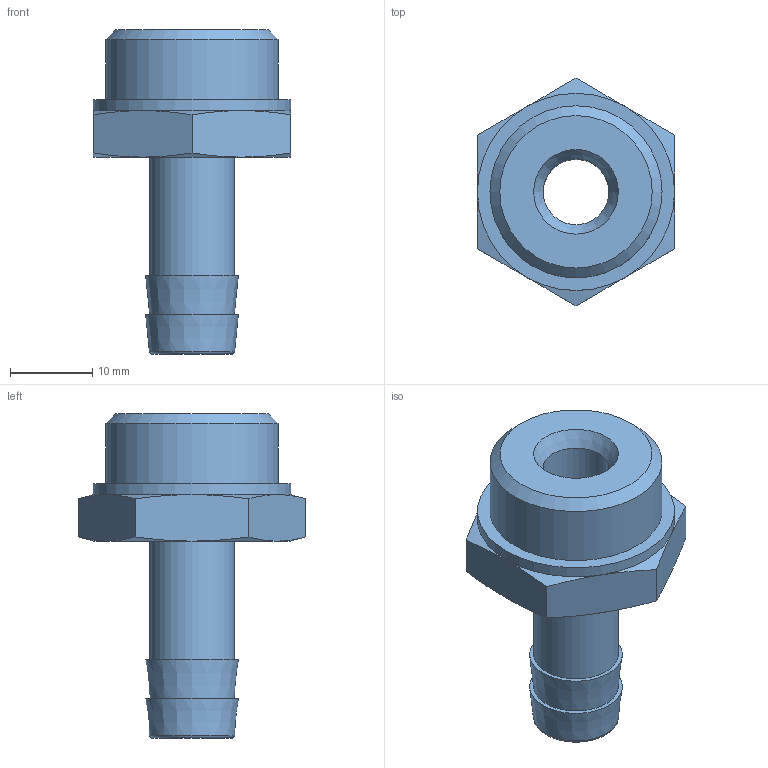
import cadquery as cq
import math

total_height = 39.5
thread_length = 8.5
collar_height = 1.35
hex_height = 5.65
collar_top = total_height - thread_length
hex_top = collar_top - collar_height
hex_bottom = hex_top - hex_height

thread_diameter = 20.95
thread_chamfer = 1.2
collar_diameter = 24.0

hex_across_flats = 24.0
hex_across_corners = hex_across_flats / math.cos(math.radians(30))
hex_chamfer_angle = 15.0

tail_diameter = 10.3
barb_diameter = 11.3
barb_pitch = 4.8
barb_count = 2
tip_fillet = 0.4

bore_diameter = 8.0
mouth_diameter = 10.3
mouth_angle = 60.0
mouth_depth = (mouth_diameter - bore_diameter) / 2 / math.tan(math.radians(mouth_angle / 2))


def cylinder(diameter, bottom, top):
    return cq.Workplane("XY").workplane(offset=bottom).circle(diameter / 2).extrude(top - bottom)


def cone(bottom_diameter, top_diameter, bottom, top):
    return cq.Workplane(
        cq.Solid.makeCone(bottom_diameter / 2, top_diameter / 2, top - bottom, cq.Vector(0, 0, bottom))
    )


def make_hexagon():
    """Hexagon whose corners are turned down by a shallow cone at both ends."""
    prism = (
        cq.Workplane("XY")
        .workplane(offset=hex_bottom)
        .transformed(rotate=(0, 0, 90))
        .polygon(6, hex_across_corners)
        .extrude(hex_height)
    )
    flat_radius = hex_across_flats / 2
    corner_radius = hex_across_corners / 2
    corner_drop = (corner_radius - flat_radius) * math.tan(math.radians(hex_chamfer_angle))
    envelope = (
        cq.Workplane("XZ")
        .moveTo(0, hex_bottom)
        .lineTo(flat_radius, hex_bottom)
        .lineTo(corner_radius, hex_bottom + corner_drop)
        .lineTo(corner_radius, hex_top - corner_drop)
        .lineTo(flat_radius, hex_top)
        .lineTo(0, hex_top)
        .close()
        .revolve(360, (0, 0, 0), (0, 1, 0))
    )
    return prism.intersect(envelope)


def make_thread_spigot():
    spigot = cylinder(thread_diameter, collar_top, total_height)
    return spigot.faces(">Z").chamfer(thread_chamfer)


def make_hose_tail():
    """Plain tube ending in barbs that widen away from the hose end."""
    tail = cylinder(tail_diameter, barb_pitch, hex_bottom)
    for index in range(barb_count):
        barb_bottom = index * barb_pitch
        barb = cone(tail_diameter, barb_diameter, barb_bottom, barb_bottom + barb_pitch)
        if index == 0:
            barb = barb.faces("<Z").edges().fillet(tip_fillet)
        tail = tail.union(barb)
    return tail


def make_bore():
    bore = cylinder(bore_diameter, 0, total_height)
    mouth = cone(bore_diameter, mouth_diameter, total_height - mouth_depth, total_height)
    return bore.union(mouth)


collar = cylinder(collar_diameter, hex_top, collar_top)
body = make_hexagon().union(collar).union(make_thread_spigot()).union(make_hose_tail())
result = body.cut(make_bore())